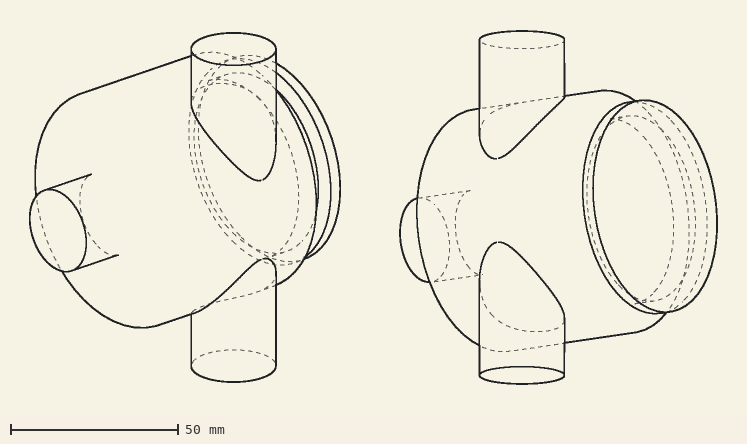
import cadquery as cq

pipe_diameter = 25.4
pipe_length = 102.4
pipe_offset = 21.5

body_diameter = 73.0
body_front = -29.4
body_back = 20.0
edge_radius = 3.1
back_edge_radius = 0.3

nozzle_diameter = pipe_diameter
nozzle_end = -51.1
nozzle_fillet = 3.1

neck_diameter = 55.8
neck_fillet = 0.6
flange_diameter = 63.8
flange_end = 33.5
rim_thickness = 3.8
flange_root_thickness = 5.2


def make_turned_body():
    """Nozzle, rounded drum, neck and tapered flange as one revolved profile."""
    nozzle_radius = nozzle_diameter / 2
    body_radius = body_diameter / 2
    neck_radius = neck_diameter / 2
    flange_radius = flange_diameter / 2
    profile = (
        cq.Workplane("XY")
        .moveTo(0, nozzle_end)
        .lineTo(nozzle_radius, nozzle_end)
        .lineTo(nozzle_radius, body_front - nozzle_fillet)
        .radiusArc((nozzle_radius + nozzle_fillet, body_front), nozzle_fillet)
        .lineTo(body_radius - edge_radius, body_front)
        .radiusArc((body_radius, body_front + edge_radius), -edge_radius)
        .lineTo(body_radius, body_back - back_edge_radius)
        .radiusArc((body_radius - back_edge_radius, body_back), -back_edge_radius)
        .lineTo(neck_radius + neck_fillet, body_back)
        .radiusArc((neck_radius, body_back + neck_fillet), neck_fillet)
        .lineTo(neck_radius, flange_end - flange_root_thickness)
        .lineTo(flange_radius, flange_end - rim_thickness)
        .lineTo(flange_radius, flange_end)
        .lineTo(0, flange_end)
        .close()
    )
    return profile.revolve(360, (0, 0, 0), (0, 1, 0))


def make_cross_pipe():
    """Vertical pipe passing through the drum beside its axis."""
    return (
        cq.Workplane("XY")
        .center(pipe_offset, 0)
        .circle(pipe_diameter / 2)
        .extrude(pipe_length / 2, both=True)
    )


result = make_turned_body().union(make_cross_pipe())